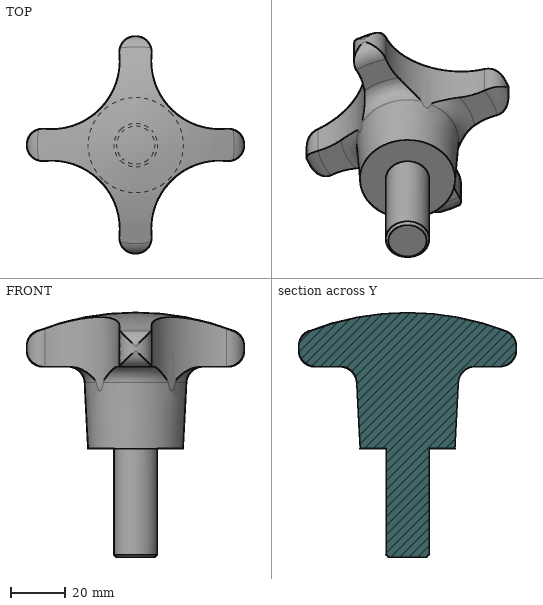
import cadquery as cq
import math


tip_reach = 40.0
tip_radius = 6.0
scallop_radius = 25.0
arm_count = 4
head_top = 50.0
arm_underside = 30.0
dome_radius = 100.0

hub_base_radius = 17.5
hub_draft = math.radians(3.0)
hub_fillet = 6.0

stud_radius = 8.0
stud_length = 40.0
stud_chamfer = 1.0

surround_margin = 20.0


def midpoint_on_arc(center, radius, start, end):
    """Middle of the shorter arc about center that joins start and end."""
    x = (start[0] + end[0]) / 2 - center[0]
    y = (start[1] + end[1]) / 2 - center[1]
    stretch = radius / math.hypot(x, y)
    return (center[0] + x * stretch, center[1] + y * stretch)


def make_turned_body():
    """Stud, hub and domed disc as one profile of (radius, Z) points turned about Z."""
    fillet_z = arm_underside - hub_fillet
    fillet_center = (
        hub_base_radius + fillet_z * math.tan(hub_draft) + hub_fillet / math.cos(hub_draft),
        fillet_z,
    )
    hub_top = (
        fillet_center[0] - hub_fillet * math.cos(hub_draft),
        fillet_center[1] + hub_fillet * math.sin(hub_draft),
    )
    underside_start = (fillet_center[0], arm_underside)

    rim_center_radius = tip_reach - tip_radius
    lower_center = (rim_center_radius, arm_underside + tip_radius)
    dome_center_z = head_top - dome_radius
    upper_center_height = math.sqrt((dome_radius - tip_radius) ** 2 - rim_center_radius**2)
    upper_center = (rim_center_radius, dome_center_z + upper_center_height)
    underside_end = (rim_center_radius, arm_underside)
    rim_bottom = (tip_reach, lower_center[1])
    rim_top = (tip_reach, upper_center[1])
    dome_scale = dome_radius / (dome_radius - tip_radius)
    dome_edge = (
        rim_center_radius * dome_scale,
        dome_center_z + upper_center_height * dome_scale,
    )
    dome_top = (0, head_top)

    profile = (
        cq.Workplane("XZ")
        .moveTo(0, -stud_length)
        .lineTo(stud_radius - stud_chamfer, -stud_length)
        .lineTo(stud_radius, stud_chamfer - stud_length)
        .lineTo(stud_radius, 0)
        .lineTo(hub_base_radius, 0)
        .lineTo(*hub_top)
        .threePointArc(
            midpoint_on_arc(fillet_center, hub_fillet, hub_top, underside_start), underside_start
        )
        .lineTo(*underside_end)
        .threePointArc(
            midpoint_on_arc(lower_center, tip_radius, underside_end, rim_bottom), rim_bottom
        )
        .lineTo(*rim_top)
        .threePointArc(midpoint_on_arc(upper_center, tip_radius, rim_top, dome_edge), dome_edge)
        .threePointArc(
            midpoint_on_arc((0, dome_center_z), dome_radius, dome_edge, dome_top), dome_top
        )
        .close()
    )
    return profile.revolve(360, (0, 0), (0, 1))


def make_cross_prism():
    """Upright prism with the plan outline of the arms: round tips tangent to round hollows."""
    tip_center = tip_reach - tip_radius
    span = tip_radius + scallop_radius
    scallop_center = (tip_center + math.sqrt(2 * span**2 - tip_center**2)) / 2
    blend = tip_radius / span
    blend_x = tip_center + (scallop_center - tip_center) * blend
    blend_y = scallop_center * blend
    scallop_middle = scallop_center - scallop_radius / math.sqrt(2)

    def turned(x, y, arm):
        """Point (x, y) of the first arm carried round to the given arm."""
        angle = arm * 2 * math.pi / arm_count
        return (
            x * math.cos(angle) - y * math.sin(angle),
            x * math.sin(angle) + y * math.cos(angle),
        )

    outline = cq.Workplane("XY", origin=(0, 0, -stud_length)).moveTo(blend_x, -blend_y)
    for arm in range(arm_count):
        outline = outline.threePointArc(turned(tip_reach, 0, arm), turned(blend_x, blend_y, arm))
        outline = outline.threePointArc(
            turned(scallop_middle, scallop_middle, arm), turned(blend_x, -blend_y, arm + 1)
        )
    return outline.close().extrude(stud_length + head_top)


def make_surround(prism):
    """Square block around the head with the cross-shaped prism removed from it."""
    side = 2 * (tip_reach + surround_margin)
    block = cq.Workplane("XY", origin=(0, 0, -stud_length)).rect(side, side)
    return block.extrude(stud_length + head_top).cut(prism)


result = make_turned_body().cut(make_surround(make_cross_prism()))